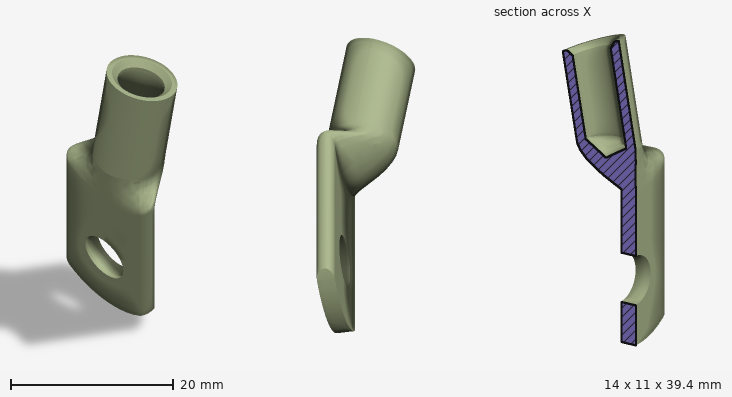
import cadquery as cq
import math


PALM_WIDTH = 14.0
PALM_THICKNESS = 2.25
PALM_LENGTH = 20.0
PALM_ARC_RADIUS = 10.0
BOLT_HOLE_DIAMETER = 6.4
BOLT_HOLE_TO_TIP = 8.5

NECK_HEIGHT = 5.5
NECK_TOP_PULL = 2.2
NECK_PALM_PULL = 1.5
NECK_BACK_LEAN = 3.2
NECK_SIDE_HALF_ANGLE = 30.0
NECK_STATIONS = (0.25, 0.5, 0.75)
SECTION_POINTS = 9

BARREL_DIAMETER = 9.0
BARREL_RISE = 12.35
BARREL_SHIFT = 2.29
MOUTH_TILT = 20.0
BORE_DIAMETER = 6.0
MOUTH_DIAMETER = 7.6
MOUTH_CHAMFER_DEPTH = 0.8
BORE_TIP_ANGLE = 118.0

CROSS_DEPTH = 3 * PALM_THICKNESS
TIP_Z = -BOLT_HOLE_TO_TIP
BEND_Z = TIP_Z + PALM_LENGTH
BARREL_RADIUS = BARREL_DIAMETER / 2
BORE_RADIUS = BORE_DIAMETER / 2
BASE_CENTER = cq.Vector(0, BARREL_RADIUS, BEND_Z + NECK_HEIGHT)
MOUTH_CENTER = BASE_CENTER + cq.Vector(0, BARREL_SHIFT, BARREL_RISE)
UP = cq.Vector(0, 0, 1)
MOUTH_NORMAL = cq.Vector(0, math.sin(math.radians(MOUTH_TILT)), math.cos(math.radians(MOUTH_TILT)))


def cross_cylinder(radius, center_z):
    """Cylinder along Y that passes well through the palm on both sides."""
    return (
        cq.Workplane("XZ", origin=(0, -PALM_THICKNESS, center_z))
        .circle(radius)
        .extrude(-CROSS_DEPTH)
    )


def arc_cylinder(lowest_z):
    """Arc-sized cross cylinder whose lowest line lies at the given height."""
    return cross_cylinder(PALM_ARC_RADIUS, lowest_z + PALM_ARC_RADIUS)


def make_palm():
    """Flat bar with full-round sides, ending in equal arcs at the tip and bend line."""
    bar = (
        cq.Workplane("XY", origin=(0, PALM_THICKNESS / 2, TIP_Z))
        .slot2D(PALM_WIDTH, PALM_THICKNESS)
        .extrude(PALM_LENGTH + PALM_ARC_RADIUS / 2)
    )
    tip_zone = arc_cylinder(TIP_Z).union(
        cq.Workplane("XY", origin=(0, 0, TIP_Z + PALM_ARC_RADIUS))
        .rect(2 * PALM_ARC_RADIUS, CROSS_DEPTH)
        .extrude(PALM_LENGTH)
    )
    return bar.intersect(tip_zone).cut(arc_cylinder(BEND_Z))


def base_arc(start, end):
    """Arc of the barrel base circle, angles measured from +X towards +Y."""
    def point(degrees):
        angle = math.radians(degrees)
        return BASE_CENTER + cq.Vector(math.cos(angle), math.sin(angle), 0) * BARREL_RADIUS

    return cq.Edge.makeThreePointArc(point(start), point((start + end) / 2), point(end))


def neck_point(top, bottom, station):
    """Point on the cubic Bezier curve that joins a barrel point to a palm point."""
    edge_fade = 1 - (2 * bottom.x / PALM_WIDTH) ** 2
    lean = NECK_BACK_LEAN * edge_fade * bottom.y / PALM_THICKNESS
    top_control = top - UP * NECK_TOP_PULL
    bottom_control = bottom + cq.Vector(0, lean, NECK_PALM_PULL)
    rest = 1 - station
    return (
        top * rest**3
        + top_control * (3 * rest**2 * station)
        + bottom_control * (3 * rest * station**2)
        + bottom * station**3
    )


def ordered_palm_edges(bend_face):
    """Edges of the bend face counter-clockwise from above: front, right, back, left."""
    edges = bend_face.Edges()
    front = min(edges, key=lambda e: e.Center().y)
    back = max(edges, key=lambda e: e.Center().y)
    left = min(edges, key=lambda e: e.Center().x)
    right = max(edges, key=lambda e: e.Center().x)
    return front, right, back, left


def same_direction_points(top_edge, bottom_edge):
    """Pairs of matching points along two edges, both running counter-clockwise from above."""
    fractions = [i / (SECTION_POINTS - 1) for i in range(SECTION_POINTS)]
    top_points = top_edge.positions(fractions)
    bottom_points = bottom_edge.positions(fractions)
    travel = bottom_points[-1] - bottom_points[0]
    if travel.dot(top_points[-1] - top_points[0]) < 0:
        bottom_points.reverse()
    return list(zip(top_points, bottom_points))


def make_neck(palm):
    """Flared solid from the barrel base circle down to the curved bend face of the palm."""
    side = NECK_SIDE_HALF_ANGLE
    top_edges = [
        base_arc(180 + side, 360 - side),
        base_arc(-side, side),
        base_arc(side, 180 - side),
        base_arc(180 - side, 180 + side),
    ]
    bend_face = palm.faces("%CYLINDER").faces(
        cq.selectors.NearestToPointSelector((0, PALM_THICKNESS / 2, BEND_Z))
    ).val()
    bottom_edges = ordered_palm_edges(bend_face)
    pairs = [same_direction_points(t, b) for t, b in zip(top_edges, bottom_edges)]

    top_wire = cq.Wire.assembleEdges(top_edges)
    sections = [top_wire]
    for station in NECK_STATIONS:
        splines = [
            cq.Edge.makeSpline([neck_point(top, bottom, station) for top, bottom in pair])
            for pair in pairs
        ]
        sections.append(cq.Wire.assembleEdges(splines))
    sections.append(cq.Wire.assembleEdges(bottom_edges))

    skin = cq.occ_impl.shapes.loft(sections, compat=False)
    base_face = cq.Face.makeFromWires(top_wire)
    neck = cq.occ_impl.shapes.solid([*skin.Faces(), base_face, bend_face])
    return cq.Workplane(cq.Shape.cast(neck.wrapped))


def tilted_circle(radius, center):
    """Circle parallel to the mouth plane."""
    return cq.Wire.makeCircle(radius, center, MOUTH_NORMAL)


def make_barrel():
    """Slanted tube blank from the level base circle to the tilted mouth circle."""
    base = cq.Wire.makeCircle(BARREL_RADIUS, BASE_CENTER, UP)
    mouth = tilted_circle(BARREL_RADIUS, MOUTH_CENTER)
    return cq.Workplane(cq.Solid.makeLoft([base, mouth], True))


def make_bore():
    """Chamfered mouth, slanted bore and conical bottom."""
    axis = (MOUTH_CENTER - BASE_CENTER).normalized()
    throat_center = MOUTH_CENTER - axis * MOUTH_CHAMFER_DEPTH
    mouth = tilted_circle(MOUTH_DIAMETER / 2, MOUTH_CENTER)
    throat = tilted_circle(BORE_RADIUS, throat_center)
    bottom = cq.Wire.makeCircle(BORE_RADIUS, BASE_CENTER, UP)
    tip_depth = BORE_RADIUS / math.tan(math.radians(BORE_TIP_ANGLE / 2))

    chamfer = cq.Workplane(cq.Solid.makeLoft([mouth, throat], True))
    bore = cq.Workplane(cq.Solid.makeLoft([throat, bottom], True))
    cone = cq.Workplane(cq.Solid.makeCone(BORE_RADIUS, 0, tip_depth, BASE_CENTER, -UP))
    return bore.union(chamfer).union(cone)


palm = make_palm()
neck = make_neck(palm)
body = palm.union(neck).union(make_barrel())
result = body.cut(make_bore()).cut(cross_cylinder(BOLT_HOLE_DIAMETER / 2, 0))